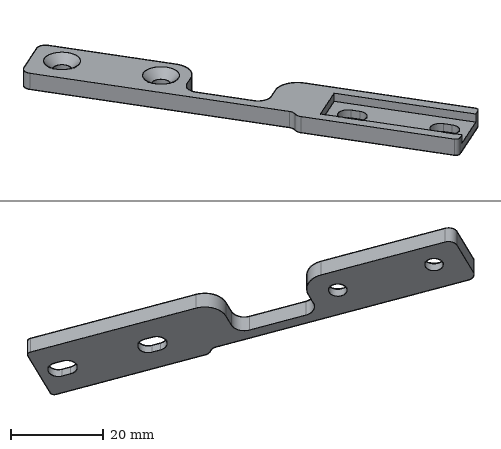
import cadquery as cq
import math

length = 100
width = 15
thickness = 4
left_corner_radius = 2
right_corner_radius = 1

notch_left = 36
notch_right = 55.2
bridge_back = 4
notch_outer_radius = 5
notch_inner_radius = 3

step_depth = 1.5
step_start = 61
step_radius = 2
step_run = math.sqrt(step_depth * (4 * step_radius - step_depth))
step_end = step_start + step_run

screw_centers = [(7, 9), (29.5, 9)]
screw_diameter = 4
countersink_diameter = 8
countersink_angle = 90

channel_start = 67.8
channel_width = 10
channel_depth = 2
channel_center_y = 7.4
slot_centers_x = [73.5, 94.5]
slot_length = 6.5
slot_width = 4.5


def round_corners(body, points, radius):
    """Fillet the vertical edges standing at the given points."""
    for x, y in points:
        edge = cq.selectors.NearestToPointSelector((x, y, thickness / 2))
        body = body.edges("|Z").edges(edge).fillet(radius)
    return body


def make_plate():
    sag = step_radius - math.sqrt(step_radius**2 - (step_run / 4) ** 2)
    plate = (
        cq.Workplane("XY")
        .moveTo(0, step_depth)
        .lineTo(step_start, step_depth)
        .threePointArc(
            (step_start + step_run / 4, step_depth - sag),
            (step_start + step_run / 2, step_depth / 2),
        )
        .threePointArc((step_end - step_run / 4, sag), (step_end, 0))
        .lineTo(length, 0)
        .lineTo(length, width)
        .lineTo(notch_right, width)
        .lineTo(notch_right, bridge_back)
        .lineTo(notch_left, bridge_back)
        .lineTo(notch_left, width)
        .lineTo(0, width)
        .close()
        .extrude(thickness)
    )
    plate = round_corners(plate, [(0, step_depth), (0, width)], left_corner_radius)
    plate = round_corners(plate, [(length, 0), (length, width)], right_corner_radius)
    plate = round_corners(plate, [(notch_left, width), (notch_right, width)], notch_outer_radius)
    return round_corners(
        plate, [(notch_left, bridge_back), (notch_right, bridge_back)], notch_inner_radius
    )


def cut_screw_holes(body):
    return (
        body.faces(">Z")
        .workplane(origin=(0, 0, thickness))
        .pushPoints(screw_centers)
        .cskHole(screw_diameter, countersink_diameter, countersink_angle)
    )


def cut_channel(body):
    channel = (
        cq.Workplane("XY", origin=(channel_start, channel_center_y, thickness - channel_depth))
        .box(length - channel_start, channel_width, channel_depth, centered=(False, True, False))
    )
    return body.cut(channel)


def cut_slots(body):
    slots = (
        cq.Workplane("XY")
        .pushPoints([(x, channel_center_y) for x in slot_centers_x])
        .slot2D(slot_length, slot_width)
        .extrude(thickness)
    )
    return body.cut(slots)


result = cut_slots(cut_channel(cut_screw_holes(make_plate())))